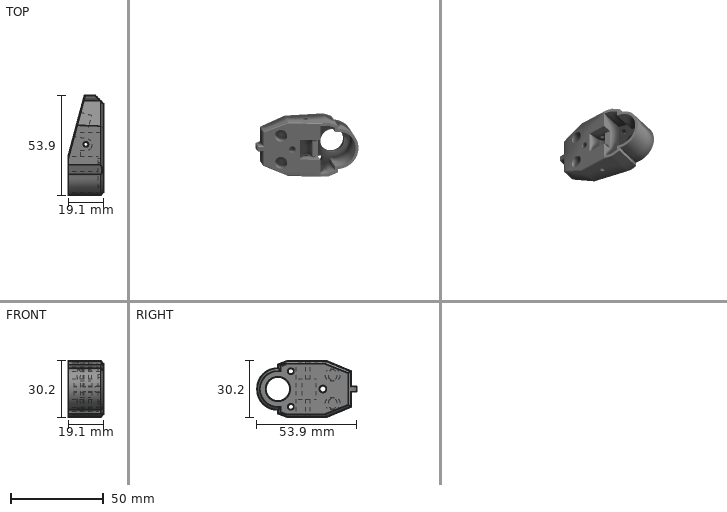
import cadquery as cq
import math

thickness = 19.05
half_height = 15.1
total_length = 53.86

bore_end_radius = 11.3
shoulder_half_height = 13.2
shoulder_run = 5.0
tab_length = 3.175
nose_end_y = total_length - bore_end_radius - tab_length
nose_half_height = 9.65
nose_corner_y_front = 26.5
nose_corner_y_back = 25.75
tab_half_height = 1.524

slope_angle = 15.0
slope_start_y = 9.65
slope_tan = math.tan(math.radians(slope_angle))
edge_chamfer = 0.38

back_chamfer = 1.6
shoulder_chamfer = 1.0
wall = 1.6
cavity_floor_x = thickness - 3.175
bore_diameter = 12.95

pivot_x = thickness / 2
pivot_y = 16.0
pivot_diameter = 2.54
slot_width = 11.2
slot_radius = 6.35 / 2
slot_ledge_x = 6.35
slot_wall_angle = math.radians(10.0)

floor_hole_diameter = 3.05
floor_hole_y = 6.98
floor_hole_z = 9.57
nose_hole_diameter = 3.56
nose_hole_y = 24.25
socket_diameter = 6.6
socket_depth = 6.35
socket_y = 30.17
socket_z = 7.63

margin = 10.0


def slope_x(y):
    """X of the sloped front face at a given Y."""
    return (y - slope_start_y) * slope_tan


def nose_corner_y(x):
    """Y where the nose flank starts; it drifts slightly through the thickness."""
    drift = (nose_corner_y_back - nose_corner_y_front) / thickness
    return nose_corner_y_front + drift * x


def box(x_range, y_range, z_range):
    """Box spanning the given (low, high) ranges."""
    size = [high - low for low, high in (x_range, y_range, z_range)]
    corner = (x_range[0], y_range[0], z_range[0])
    return cq.Workplane("XY").box(*size, centered=False).translate(corner)


def outline(x):
    """Housing outline with square shoulders, a closed wire in the YZ plane at the given X."""
    corner_y = nose_corner_y(x)
    return (
        cq.Workplane("YZ", origin=(x, 0, 0))
        .moveTo(0, bore_end_radius)
        .lineTo(0, half_height)
        .lineTo(corner_y, half_height)
        .lineTo(nose_end_y, nose_half_height)
        .lineTo(nose_end_y, -nose_half_height)
        .lineTo(corner_y, -half_height)
        .lineTo(0, -half_height)
        .lineTo(0, -bore_end_radius)
        .threePointArc((-bore_end_radius, 0), (0, bore_end_radius))
        .close()
    )


def make_housing():
    """Housing stock, ruled between its two outlines and chamfered round the back face."""
    front_wire = outline(-margin).val()
    back_wire = outline(thickness).val()
    stock = cq.Workplane(cq.Solid.makeLoft([front_wire, back_wire], True))
    return stock.faces(">X").chamfer(back_chamfer)


def make_shoulder_cutter():
    """Body that slants the upper shoulder off and puts a smaller chamfer on its back edge."""
    slant_angle = math.degrees(math.atan2(half_height - shoulder_half_height, shoulder_run))
    chamfer_x = thickness - shoulder_chamfer
    return (
        cq.Workplane("XZ")
        .polyline([
            (-margin, 0),
            (chamfer_x, 0),
            (chamfer_x + margin, -margin),
            (chamfer_x + margin, margin),
            (-margin, margin),
        ])
        .close()
        .extrude(margin, both=True)
        .rotate((0, 0, 0), (1, 0, 0), slant_angle)
        .translate((0, 0, shoulder_half_height))
        .intersect(box((-margin, thickness), (-margin, nose_corner_y_back), (bore_end_radius, half_height)))
    )


def make_tab():
    """Tongue on the nose end; its back corner continues the 45 degree back chamfer."""
    tip_y = nose_end_y + tab_length
    root_y = nose_end_y - margin
    back_x = thickness - back_chamfer
    return (
        cq.Workplane("XY", origin=(0, 0, -tab_half_height))
        .polyline([
            (0, root_y),
            (back_x, root_y),
            (back_x, nose_end_y),
            (back_x - tab_length, tip_y),
            (0, tip_y),
        ])
        .close()
        .extrude(2 * tab_half_height)
        .faces(">Y").edges("|X")
        .chamfer(edge_chamfer)
    )


def cut_slope(body):
    """Cut the sloped front face, break its edges, then trim the stock flat at X = 0."""
    low_y = -2 * margin
    high_y = total_length
    far_x = -3 * margin
    wedge = (
        cq.Workplane("XY")
        .polyline([(slope_x(low_y), low_y), (slope_x(high_y), high_y), (far_x, high_y), (far_x, low_y)])
        .close()
        .extrude(half_height + margin, both=True)
    )
    slope_normal = cq.Vector(-1, slope_tan, 0)
    body = body.cut(wedge)
    body = body.faces(cq.selectors.DirectionSelector(slope_normal)).chamfer(edge_chamfer)
    return body.intersect(box((0, thickness), (low_y, high_y), (-half_height, half_height)))


def make_cavity():
    """Open chamber around the bore, one wall inside the outline and ended by a flat wall."""
    radius = bore_end_radius - wall
    top = half_height - wall
    slant = (half_height - shoulder_half_height) / shoulder_run
    slant_top = shoulder_half_height - wall * math.hypot(1, slant)
    corner_z = slant_top + slant * wall
    top_y = (top - slant_top) / slant
    return (
        cq.Workplane("YZ")
        .moveTo(0, radius)
        .lineTo(wall, radius)
        .lineTo(wall, corner_z)
        .lineTo(top_y, top)
        .lineTo(slope_start_y, top)
        .lineTo(slope_start_y, -top)
        .lineTo(top_y, -top)
        .lineTo(wall, -corner_z)
        .lineTo(wall, -radius)
        .lineTo(0, -radius)
        .threePointArc((-radius, 0), (0, radius))
        .close()
        .extrude(cavity_floor_x)
    )


def make_lever_slot():
    """Slot with a round bottom about the pivot, a slanted far wall and a ledge towards the chamber."""
    tangent_x = pivot_x + slot_radius * math.sin(slot_wall_angle)
    tangent_y = pivot_y + slot_radius * math.cos(slot_wall_angle)
    mouth_x = -margin
    mouth_y = tangent_y + (tangent_x - mouth_x) * math.tan(slot_wall_angle)
    ledge_y = pivot_y - slot_radius
    return (
        cq.Workplane("XY")
        .moveTo(tangent_x, tangent_y)
        .lineTo(mouth_x, mouth_y)
        .lineTo(mouth_x, slope_start_y)
        .lineTo(slot_ledge_x, slope_start_y)
        .lineTo(slot_ledge_x, ledge_y)
        .lineTo(pivot_x, ledge_y)
        .threePointArc((pivot_x + slot_radius, pivot_y), (tangent_x, tangent_y))
        .close()
        .extrude(slot_width / 2, both=True)
    )


def make_x_hole(diameter, y, z):
    """Cutter for a through hole along X."""
    return cq.Workplane("YZ").center(y, z).circle(diameter / 2).extrude(thickness)


def make_pivot_hole():
    """Cutter for the pivot pin hole, right through along Z."""
    return (
        cq.Workplane("XY")
        .center(pivot_x, pivot_y)
        .circle(pivot_diameter / 2)
        .extrude(half_height, both=True)
    )


def make_socket(z):
    """Flat-bottomed blind hole, square to the sloped face."""
    mouth = cq.Vector(slope_x(socket_y), socket_y, z)
    inward = cq.Vector(1, -slope_tan, 0).normalized()
    start = mouth - inward * socket_depth
    return cq.Workplane(cq.Solid.makeCylinder(socket_diameter / 2, 2 * socket_depth, start, inward))


shoulder_cutter = make_shoulder_cutter()
housing = make_housing().cut(shoulder_cutter).cut(shoulder_cutter.mirror("XY"))
result = cut_slope(housing.union(make_tab()))
result = result.cut(make_cavity()).cut(make_lever_slot()).cut(make_pivot_hole())
result = result.cut(make_x_hole(bore_diameter, 0, 0))
result = result.cut(make_x_hole(nose_hole_diameter, nose_hole_y, 0))
for side in (1, -1):
    result = result.cut(make_x_hole(floor_hole_diameter, floor_hole_y, side * floor_hole_z))
    result = result.cut(make_socket(side * socket_z))